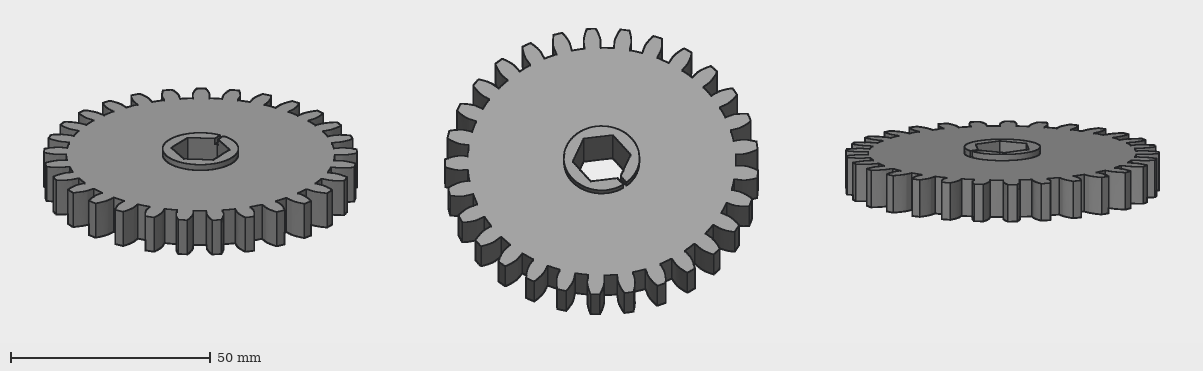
import cadquery as cq
import math

tooth_count = 29
longest_side = 78.7
pressure_angle = math.radians(14.5)
root_diameter = 67.4
flank_steps = 6
face_width = 9.5

hub_diameter = 19.05
overall_height = 11.1
hub_height = overall_height - face_width
hex_across_flats = 12.75
slot_width = 0.95

tooth_pitch = 2 * math.pi / tooth_count
pitch_to_outside = tooth_count / (tooth_count + 2)
base_to_outside = pitch_to_outside * math.cos(pressure_angle)


def involute(angle):
    return math.tan(angle) - angle


base_half_angle = tooth_pitch / 4 + involute(pressure_angle)
tip_half_angle = base_half_angle - involute(math.acos(base_to_outside))

outside_radius = longest_side / 2 / math.cos(tooth_pitch / 4 - tip_half_angle)
base_radius = outside_radius * base_to_outside
root_radius = root_diameter / 2

tip_roll = math.sqrt((outside_radius / base_radius) ** 2 - 1)


def polar(radius, angle):
    return (radius * math.cos(angle), radius * math.sin(angle))


def flank_point(roll, centre_angle, side):
    """Point on an involute flank; side is -1 or +1 about the tooth centre line."""
    radius = base_radius * math.sqrt(1 + roll**2)
    half_angle = base_half_angle - (roll - math.atan(roll))
    return polar(radius, centre_angle + side * half_angle)


def add_tooth(outline, centre_angle):
    """Continue the outline from the tooth's first root corner to the next tooth's."""
    rolls = [tip_roll * step / flank_steps for step in range(flank_steps + 1)]
    rising = [flank_point(roll, centre_angle, -1) for roll in rolls]
    falling = [flank_point(roll, centre_angle, 1) for roll in reversed(rolls)]
    next_centre = centre_angle + tooth_pitch
    return (
        outline.lineTo(*rising[0])
        .spline(rising[1:], includeCurrent=True)
        .threePointArc(polar(outside_radius, centre_angle), falling[0])
        .spline(falling[1:], includeCurrent=True)
        .lineTo(*polar(root_radius, centre_angle + base_half_angle))
        .threePointArc(
            polar(root_radius, centre_angle + tooth_pitch / 2),
            polar(root_radius, next_centre - base_half_angle),
        )
    )


def make_toothed_disc():
    outline = cq.Workplane("XY").moveTo(*polar(root_radius, -base_half_angle))
    for tooth in range(tooth_count):
        outline = add_tooth(outline, tooth * tooth_pitch)
    return outline.close().extrude(face_width)


def make_hub():
    return cq.Workplane("XY").circle(hub_diameter / 2).extrude(overall_height)


def make_hex_bore():
    """Hexagonal through bore with two corners on the Y axis."""
    across_corners = hex_across_flats / math.cos(math.pi / 6)
    bore = cq.Workplane("XY").polygon(6, across_corners).extrude(overall_height)
    return bore.rotate((0, 0, 0), (0, 0, 1), 90)


def make_hub_slot():
    """Radial slot through the hub wall on the +Y side, down to the disc face."""
    return (
        cq.Workplane("XY", origin=(0, 0, face_width))
        .rect(slot_width, hub_diameter)
        .extrude(hub_height)
        .translate((0, hub_diameter / 2, 0))
    )


result = make_toothed_disc().union(make_hub()).cut(make_hex_bore()).cut(make_hub_slot())